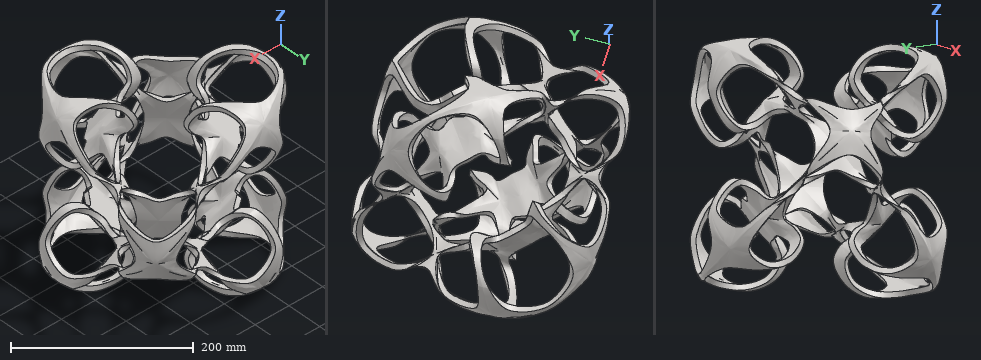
import cadquery as cq

THICKNESS = 7.0
SPANS = 8
FIT_TOLERANCE = 0.001
SEW_TOLERANCE = 0.02
KEY_DECIMALS = 3


def point(x, y, z):
    return cq.Vector(x, y, z)


def flip_z(p):
    return cq.Vector(p.x, p.y, -p.z)


def swap_xy(p):
    return cq.Vector(p.y, p.x, p.z)


def swap_xy_signs(p):
    return cq.Vector(-p.y, -p.x, p.z)


MIRRORS = (flip_z, swap_xy, swap_xy_signs)
MIRROR_NORMALS = (cq.Vector(0, 0, 1), cq.Vector(1, -1, 0), cq.Vector(1, 1, 0))


def images(p):
    """The eight mirror images of p; image n is mirrored once for each set bit of n."""
    found = [p]
    for mirror in MIRRORS:
        found += [mirror(q) for q in found]
    return found


def mirrored_oddly(n):
    return bin(n).count("1") % 2 == 1


outer = point(121.3, -35.7, 110.8)
outer_rim_gap = point(104.0, -48.5, 126)
outer_eye_gap = point(114.2, -15.5, 114.7)
outer_side_gap = point(126.8, -21, 90.5)
outer_pod_gap = point(122.3, -58.5, 99.2)

inner = point(63, -27.5, 63)
inner_rim_gap = point(46.0, -21, 81.5)
inner_eye_gap = point(53.8, -8, 69.5)
inner_side_gap = point(72.2, -20.2, 46.0)
inner_pod_gap = point(69.8, -45.2, 43.8)

link = point(95.8, 34, 44.5)
link_eye_gap = point(95.5, 31.5, 45.7)
link_top_gap = point(95.0, 39.0, 41.5)
link_outer_gap = point(113, 41.5, 53.3)
link_inner_gap = point(81.5, 24.2, 40.5)

belt = point(118, 118, 0)
belt_top_gap = point(114.2, 114.2, 25.0)
belt_side_gap = point(127.8, 97, 0)

waist = point(64.3, 64.3, 0)
waist_top_gap = point(63, 63, 25.0)
waist_side_gap = point(81.5, 46.7, 0)

crown = (point(88.5, -88.5, 128.0), point(90.5, -90.5, 126.8), point(92, -92, 124.0))
apron = (point(59.3, -59.3, 36.8), point(47.8, -47.8, 57.8), point(34, -34, 81.5))

tip_rise = (point(86.5, -8.5, 126), point(86.5, -14.5, 127.0), point(86.5, -21, 127.3))
tip_shoulder = (point(61.5, 4.0, 116.0), point(61.5, -0.5, 116.3), point(61.7, -5.2, 116.5))
tip = (point(48.8, 10.0, 92), point(48.3, 1.5, 93.2), point(47.8, -6.5, 94.5))
tip_fall = (point(50.5, 2.5, 78.2), point(48.5, -5.2, 83.2), point(47.0, -13.6, 88.2))

foot_drop = (point(122.3, -62.2, 71), point(123.0, -56.5, 69.5), point(123.6, -50.7, 68.2))
foot = (point(97, -48.8, 29), point(97, -43.5, 30.2), point(97, -38.3, 31.5))
foot_rise = (point(82.2, -42.8, 34), point(82.2, -36.2, 34.6), point(82.2, -29.7, 35.5))

outer_stay = (point(126.3, 19.7, 71), point(125.0, 18.5, 76), point(123.6, 17.0, 81.5))
inner_stay = (point(76, 9.2, 55), point(78.8, 9.2, 50), point(81.5, 9.2, 45.5))
belt_stay = (point(124.0, 73.5, 40.7), point(125.5, 73.5, 36.2), point(126.5, 73.5, 31.5))
waist_stay = (point(82.7, 40.0, 23.5), point(79.8, 44.5, 27.5), point(76, 50, 32.0))

arms = [
    [(outer_rim_gap, outer, outer_pod_gap), crown],
    [(inner_pod_gap, inner, inner_rim_gap), apron],
    [
        (outer_eye_gap, outer, outer_rim_gap),
        tip_rise,
        tip_shoulder,
        tip,
        tip_fall,
        (inner_eye_gap, inner, inner_rim_gap),
    ],
    [
        (outer_pod_gap, outer, outer_side_gap),
        foot_drop,
        foot,
        foot_rise,
        (inner_pod_gap, inner, inner_side_gap),
    ],
    [(outer_side_gap, outer, outer_eye_gap), outer_stay, (link_outer_gap, link, link_eye_gap)],
    [(inner_eye_gap, inner, inner_side_gap), inner_stay, (link_eye_gap, link, link_inner_gap)],
    [(belt_top_gap, belt, belt_side_gap), belt_stay, (link_top_gap, link, link_outer_gap)],
    [(waist_side_gap, waist, waist_top_gap), waist_stay, (link_inner_gap, link, link_top_gap)],
]


def centre(station):
    return station[1]


def half_turn(p):
    """Half a turn about the line x = y in the plane z = 0."""
    return flip_z(swap_xy(p))


passes = [
    (centre(crown), outer, centre(outer_stay)),
    (centre(tip_rise), outer, centre(foot_drop)),
    (outer_rim_gap, outer, outer_side_gap),
    (outer_eye_gap, outer, outer_pod_gap),
    (centre(apron), inner, centre(inner_stay)),
    (centre(tip_fall), inner, centre(foot_rise)),
    (inner_rim_gap, inner, inner_side_gap),
    (inner_eye_gap, inner, inner_pod_gap),
    (centre(outer_stay), link, centre(waist_stay)),
    (centre(belt_stay), link, centre(inner_stay)),
    (link_eye_gap, link, link_top_gap),
    (link_outer_gap, link, link_inner_gap),
    (belt_top_gap, belt, flip_z(belt_top_gap)),
    (belt_side_gap, belt, swap_xy(belt_side_gap)),
    (centre(belt_stay), belt, half_turn(centre(belt_stay))),
    (waist_top_gap, waist, flip_z(waist_top_gap)),
    (waist_side_gap, waist, swap_xy(waist_side_gap)),
    (centre(waist_stay), waist, half_turn(centre(waist_stay))),
    (outer, centre(crown), swap_xy_signs(outer)),
    (inner, centre(apron), swap_xy_signs(inner)),
    crown,
    apron,
]
quads = []
for arm in arms:
    for before, row, after in zip(arm, arm[1:], arm[2:]):
        passes.append(row)
        passes.append((centre(before), centre(row), centre(after)))
    for row, after in zip(arm, arm[1:]):
        for half in (0, 1):
            quads.append([row[half], row[half + 1], after[half + 1], after[half]])


def key(p):
    return (round(p.x, KEY_DECIMALS), round(p.y, KEY_DECIMALS), round(p.z, KEY_DECIMALS))


def edge_key(a, b):
    return tuple(sorted((key(a), key(b))))


def sides_of(quad):
    return zip(quad, quad[1:] + quad[:1])


def whole_net():
    """All quads of the complete web, wound the same way round."""
    for quad in quads:
        corner_images = [images(p) for p in quad]
        for n, moved in enumerate(zip(*corner_images)):
            yield list(reversed(moved)) if mirrored_oddly(n) else list(moved)


normals = {}
edge_uses = {}
for net_quad in whole_net():
    for a, b in sides_of(net_quad):
        edge_uses[edge_key(a, b)] = edge_uses.get(edge_key(a, b), 0) + 1
    for i, corner in enumerate(net_quad):
        to_next = net_quad[(i + 1) % 4] - corner
        to_last = net_quad[i - 1] - corner
        total = normals.get(key(corner), cq.Vector())
        normals[key(corner)] = total + to_next.cross(to_last).normalized()
normals = {place: total.normalized() for place, total in normals.items()}
rim_edges = {edge for edge, uses in edge_uses.items() if uses == 1}

opposite = {}
for line in passes:
    for a, b, c in zip(*[images(p) for p in line]):
        opposite[key(b), key(a)] = c
        opposite[key(b), key(c)] = a
rim_neighbours = {}
for a, b in rim_edges:
    rim_neighbours.setdefault(a, []).append(b)
    rim_neighbours.setdefault(b, []).append(a)
for place, (a, b) in rim_neighbours.items():
    opposite[place, a] = cq.Vector(*b)
    opposite[place, b] = cq.Vector(*a)


FRONT, BACK = 1, -1


def lifted(p, skin):
    return p + normals[key(p)] * (skin * THICKNESS / 2)


def leaving(a, b, skin):
    """Tangent at a of the skin curve from a to b, lying in the tangent plane at a."""
    ahead = lifted(b, skin) - lifted(a, skin)
    tangent = ahead
    before = opposite.get((key(a), key(b)))
    if before is not None:
        behind = lifted(a, skin) - lifted(before, skin)
        d_ahead, d_behind = ahead.Length, behind.Length
        slope = ahead * (d_behind / d_ahead) + behind * (d_ahead / d_behind)
        tangent = slope * (d_ahead / (d_ahead + d_behind))
    normal = normals[key(a)]
    return tangent - normal * tangent.dot(normal)


def hermite(start, start_tangent, end, end_tangent, t):
    end_share = t**2 * (3 - 2 * t)
    position = start * (1 - end_share) + end * end_share
    return position + start_tangent * (t * (1 - t) ** 2) - end_tangent * (t**2 * (1 - t))


def blend(first, last, t):
    last_share = t**2 * (3 - 2 * t)
    return first * (1 - last_share) + last * last_share


def curve_point(a, b, skin, t):
    start, end = lifted(a, skin), lifted(b, skin)
    return hermite(start, leaving(a, b, skin), end, -leaving(b, a, skin), t)


STEPS = [i / SPANS for i in range(SPANS + 1)]


def skin_face(quad, skin):
    a, b, c, d = quad
    grid = []
    for u in STEPS:
        start = curve_point(a, b, skin, u)
        end = curve_point(d, c, skin, u)
        start_tangent = blend(leaving(a, d, skin), leaving(b, c, skin), u)
        end_tangent = blend(leaving(d, a, skin), leaving(c, b, skin), u) * -1
        grid.append([hermite(start, start_tangent, end, end_tangent, v) for v in STEPS])
    return cq.Face.makeSplineApprox(grid, tol=FIT_TOLERANCE, minDeg=3, maxDeg=3)


def rim_face(a, b):
    """Narrow face across the thickness of the web."""
    back = [curve_point(a, b, BACK, t) for t in STEPS]
    front = [curve_point(a, b, FRONT, t) for t in STEPS]
    middle = [(p + q) / 2 for p, q in zip(back, front)]
    return cq.Face.makeSplineApprox([back, middle, front], tol=FIT_TOLERANCE)


faces = []
for quad in quads:
    faces += [skin_face(quad, FRONT), skin_face(quad, BACK)]
    faces += [rim_face(a, b) for a, b in sides_of(quad) if edge_key(a, b) in rim_edges]
for mirror_normal in MIRROR_NORMALS:
    faces += [face.mirror(mirror_normal) for face in faces]

skin = cq.occ_impl.shapes.shell(*faces, tol=SEW_TOLERANCE)
result = cq.Workplane(obj=cq.Solid.makeSolid(skin))